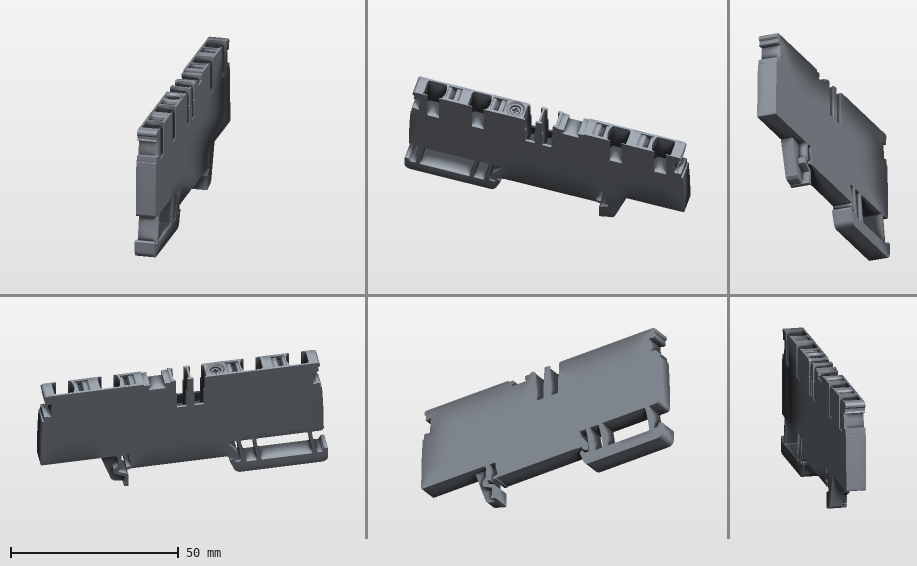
import cadquery as cq


WIDTH = 6.1
TOP = 39.4
HALF_LENGTH = 42.98
FOOT_END = -44.31
BODY_BOTTOM = 12.4
RAIL_SEAT = 6.8
SKID_TOP = 3.8
OVERLAP = 1.0

CHANNEL_FLOOR = 28.76
CHANNEL_STEP = 34.2
CHANNEL_CENTRES = (0.13, -5.15)
CHANNEL_HALF_TOP = 1.74
CHANNEL_HALF_BOTTOM = 1.44
CAVITY_FLOOR = 25.5
CAVITY_HALF_TOP = 2.35
CAVITY_HALF_BOTTOM = 1.25
CHANNEL_PLATE = 0.7

CONTACT_PITCH = 13.92
ENTRY_INNER = 18.3
ENTRY_LENGTH = 6.4
ENTRY_BULGE = 0.7
ENTRY_CORNER = 0.8
ENTRY_DEPTH = 10.0
ENTRY_NEAR_WALL = 0.56
ENTRY_FAR_WALL = 0.24
ENTRY_WINDOW_MARGIN = 1.35
SLOT_INNER = 13.75
SLOT_LENGTH = 4.2
SLOT_WALL = 0.76
SLOT_SHELF_DEPTH = 0.5
SLOT_RUN_IN = 0.45
SLOT_SHELF_LENGTH = 1.25
SLOT_DEPTH = 1.7
SLOT_SLOPE_LENGTH = 0.7
SLOT_FLOOR_LENGTH = 0.4
SLOT_RISE_LENGTH = 0.7

SCREW_Y = -10.68
SCREW_SEAT_RADIUS = 2.85
SCREW_SEAT_FLOOR_RADIUS = 2.3
SCREW_BORE_RADIUS = 1.75
SCREW_SEAT_DEPTH = 0.6
SCREW_BORE_DEPTH = 1.4
SCREW_HEAD_RADIUS = 1.4
SCREW_HEAD_HEIGHT = 0.5
CROSS_LENGTH = 2.0
CROSS_WIDTH = 0.7
CROSS_DEPTH = 0.8

WEB_THICKNESS = 3.8


def extrude_profile(profile, x_start, x_end):
    """Extrude a closed Y-Z profile from x_start to x_end."""
    return profile.close().extrude(x_end - x_start).translate((x_start, 0, 0))


def polygon(points, x_start=0.0, x_end=WIDTH):
    return extrude_profile(cq.Workplane("YZ").polyline(points), x_start, x_end)


def housing_half(side, corner_radius):
    """Half of the housing, from Y = 0 to the end on the given side (1 for +Y, -1 for -Y)."""
    flank_top = (42.45, 29.6)
    flank_middle = (42.82, 22.5)
    grip_and_hook = [
        (42.0, 29.65),
        (41.85, 31.4),
        (40.9, 31.4),
        (40.4, 31.15),
        (39.85, 31.3),
        (39.45, 36.15),
        (40.2, 36.2),
        (40.6, 35.95),
        (41.15, 36.0),
        (41.55, 36.25),
        (41.25, 36.7),
        (41.25, 37.6),
        (41.8, 38.1),
        (41.85, 38.6),
    ]
    nose_middle = (41.55, 39.15)
    nose_top = (40.8, TOP)

    def at(point):
        return (side * point[0], point[1])

    outline = (
        cq.Workplane("YZ")
        .moveTo(0, BODY_BOTTOM)
        .lineTo(side * (HALF_LENGTH - corner_radius), BODY_BOTTOM)
        .radiusArc((side * HALF_LENGTH, BODY_BOTTOM + corner_radius), -side * corner_radius)
        .threePointArc(at(flank_middle), at(flank_top))
    )
    for point in grip_and_hook:
        outline = outline.lineTo(*at(point))
    outline = outline.threePointArc(at(nose_middle), at(nose_top)).lineTo(0, TOP)
    return extrude_profile(outline, 0.0, WIDTH)


def housing():
    plus_end = housing_half(side=1, corner_radius=0.4)
    minus_end = housing_half(side=-1, corner_radius=1.0)
    return plus_end.union(minus_end)


def cut_marker_recess(body):
    """Undercut recess in the top edge that holds a marking tag."""
    shoulder = 38.9
    floor = 37.0
    recess = polygon([
        (11.57, TOP + OVERLAP),
        (11.57, shoulder),
        (9.75, shoulder),
        (9.75, 37.8),
        (10.2, 37.4),
        (10.0, floor),
        (4.98, floor),
        (4.98, 37.5),
        (5.3, 37.7),
        (5.3, shoulder),
        (3.4, shoulder),
        (3.4, TOP + OVERLAP),
    ])
    return body.cut(recess)


def symmetric_cutter(centre, half, x_start, x_end):
    """Cutter along X whose +Y side is given as (distance from centre, height) points."""
    right_side = [(centre + y, z) for y, z in half]
    left_side = [(centre - y, z) for y, z in reversed(half)]
    return polygon(right_side + left_side, x_start, x_end)


def cut_channel(body, centre):
    """Stepped notch through both side plates with a tapered cavity between them."""
    step_drop = 0.2
    step_top_inset = 0.06
    notch = [
        (CHANNEL_HALF_BOTTOM, CHANNEL_FLOOR),
        (CHANNEL_HALF_BOTTOM, CHANNEL_STEP - step_drop),
        (CHANNEL_HALF_TOP - step_top_inset, CHANNEL_STEP),
        (CHANNEL_HALF_TOP, TOP),
    ]
    cavity = [(CAVITY_HALF_BOTTOM, CAVITY_FLOOR), (CAVITY_HALF_TOP, TOP)]
    body = body.cut(symmetric_cutter(centre, notch, 0.0, WIDTH))
    return body.cut(symmetric_cutter(centre, cavity, CHANNEL_PLATE, WIDTH - CHANNEL_PLATE))


def break_channel_corners(body):
    """Small bevels where the outermost channel walls meet the top."""
    bevel = 0.4
    for wall, outward in (
        (CHANNEL_CENTRES[0] + CHANNEL_HALF_TOP, 1),
        (CHANNEL_CENTRES[1] - CHANNEL_HALF_TOP, -1),
    ):
        corner = polygon([
            (wall - outward * bevel, TOP),
            (wall + outward * bevel, TOP),
            (wall, TOP - bevel),
            (wall - outward * bevel, TOP - bevel),
        ])
        body = body.cut(corner)
    return body


def wire_entry(offset):
    """Wire entry of the +Y half: bulged inner end, rounded outer corner, window to +X."""
    inner = ENTRY_INNER + offset
    shoulder = inner + ENTRY_BULGE
    outer = inner + ENTRY_LENGTH
    near = ENTRY_NEAR_WALL
    far = WIDTH - ENTRY_FAR_WALL
    floor = TOP - ENTRY_DEPTH
    entry = (
        cq.Workplane("XY", origin=(0, 0, floor))
        .moveTo(far, shoulder)
        .lineTo(far, outer)
        .lineTo(near + ENTRY_CORNER, outer)
        .radiusArc((near, outer - ENTRY_CORNER), -ENTRY_CORNER)
        .lineTo(near, shoulder)
        .threePointArc(((near + far) / 2, inner), (far, shoulder))
        .close()
        .extrude(ENTRY_DEPTH + OVERLAP)
    )
    window_length = ENTRY_LENGTH - 2 * ENTRY_WINDOW_MARGIN
    window = cq.Workplane("XY").box(
        WIDTH / 2 + OVERLAP, window_length, ENTRY_DEPTH + OVERLAP, centered=(False, True, False)
    )
    return entry.union(window.translate((WIDTH / 2, (inner + outer) / 2, floor)))


def release_slot(offset):
    """Release slot of the +Y half: a groove between two shelves."""
    inner = SLOT_INNER + offset
    shelf_start = inner + SLOT_RUN_IN
    shelf_end = shelf_start + SLOT_SHELF_LENGTH
    shelf = TOP - SLOT_SHELF_DEPTH
    floor = TOP - SLOT_DEPTH
    slope_end = shelf_end + SLOT_SLOPE_LENGTH
    floor_end = slope_end + SLOT_FLOOR_LENGTH
    return polygon(
        [
            (inner, TOP),
            (shelf_start, shelf),
            (shelf_end, shelf),
            (slope_end, floor),
            (floor_end, floor),
            (floor_end + SLOT_RISE_LENGTH, shelf),
            (inner + SLOT_LENGTH, shelf),
            (inner + SLOT_LENGTH, TOP),
        ],
        SLOT_WALL,
        WIDTH - SLOT_WALL,
    )


def cut_contacts(body):
    """Two wire entries with release slots in each half, the halves mirrored."""
    for offset in (0.0, CONTACT_PITCH):
        for opening in (wire_entry(offset), release_slot(offset)):
            body = body.cut(opening).cut(opening.mirror("XZ"))
    return body


def add_screw(body):
    """Funnel-shaped screw seat with a cross-recessed screw head on its floor."""
    centre = (WIDTH / 2, SCREW_Y)
    bore_floor = TOP - SCREW_BORE_DEPTH
    funnel = cq.Workplane("XY", origin=(*centre, TOP)).circle(SCREW_SEAT_RADIUS)
    funnel = funnel.workplane(offset=-SCREW_SEAT_DEPTH).circle(SCREW_SEAT_FLOOR_RADIUS).loft()
    bore = cq.Workplane("XY", origin=(*centre, bore_floor)).circle(SCREW_BORE_RADIUS)
    head = cq.Workplane("XY", origin=(*centre, bore_floor)).circle(SCREW_HEAD_RADIUS)
    cross = (
        cq.Workplane("XY", origin=(*centre, bore_floor + SCREW_HEAD_HEIGHT))
        .rect(CROSS_LENGTH, CROSS_WIDTH)
        .extrude(-CROSS_DEPTH)
    )
    cross = cross.union(cross.rotate((*centre, 0), (*centre, 1), 90))
    body = body.cut(funnel).cut(bore.extrude(SCREW_BORE_DEPTH))
    return body.union(head.extrude(SCREW_HEAD_HEIGHT)).cut(cross)


def rail_block():
    """Block under the housing with a rail hook at each end."""
    return polygon([
        (16.1, BODY_BOTTOM + OVERLAP),
        (16.1, 10.7),
        (15.3, 8.4),
        (15.8, 7.6),
        (16.9, 7.6),
        (16.9, 6.65),
        (16.0, 6.55),
        (15.8, RAIL_SEAT),
        (-13.3, RAIL_SEAT),
        (-13.8, 6.6),
        (-15.3, RAIL_SEAT),
        (-15.3, 6.0),
        (-16.4, 5.1),
        (-17.15, 5.0),
        (-17.1, 6.6),
        (-16.8, 8.0),
        (-14.2, 11.5),
        (-14.2, BODY_BOTTOM + OVERLAP),
    ])


def fixed_foot():
    """Bent strip hanging from the housing, stiffened by a web on the +X side."""
    back = [
        (19.5, 8.3),
        (20.8, 7.2),
        (20.8, 5.5),
        (17.4, 3.9),
        (17.4, 1.4),
        (17.65, 1.1),
        (17.65, 0.15),
    ]
    front = [
        (17.3, 0.0),
        (16.3, 0.0),
        (16.3, 4.5),
        (16.85, 5.0),
        (19.2, 5.9),
        (19.2, 6.85),
        (18.4, 7.05),
    ]
    root_radius = 1.2
    strip = cq.Workplane("YZ").moveTo(19.5 + root_radius, BODY_BOTTOM + OVERLAP)
    strip = strip.lineTo(19.5 + root_radius, BODY_BOTTOM)
    strip = strip.radiusArc((19.5, BODY_BOTTOM - root_radius), -root_radius)
    for point in back + front:
        strip = strip.lineTo(*point)
    strip = strip.lineTo(18.4, BODY_BOTTOM + OVERLAP)
    web_edge = [
        (19.5, BODY_BOTTOM + OVERLAP),
        (24.9, BODY_BOTTOM + OVERLAP),
        (24.9, BODY_BOTTOM),
        (21.2, 1.6),
        (20.4, 0.85),
        (17.65, 0.3),
    ]
    web = polygon(web_edge + back[-2::-1], WIDTH - WEB_THICKNESS, WIDTH)
    return extrude_profile(strip, 0.0, WIDTH).union(web)


def sprung_leg(top_front, top_back, foot_front, foot_back):
    """Leg, slightly waisted, between the housing and the skid, given by its Y positions."""
    bow = 0.15
    embed = 0.1
    head = BODY_BOTTOM + embed
    toe = SKID_TOP - embed
    leg = (
        cq.Workplane("YZ")
        .moveTo(top_front, head)
        .sagittaArc((foot_front, toe), -bow)
        .lineTo(foot_back, toe)
        .sagittaArc((top_back, head), -bow)
    )
    return extrude_profile(leg, 0.0, WIDTH)


def skid():
    """Skid of the sprung foot with a catch at the rail and an upturned grip at the end."""
    heel_radius = 1.8
    outline = (
        cq.Workplane("YZ")
        .moveTo(-14.5, 5.1)
        .lineTo(-14.5, 4.5)
        .lineTo(-15.7, 1.6)
        .threePointArc((-16.5, 0.45), (-17.6, 0.0))
        .lineTo(FOOT_END + heel_radius, 0.0)
        .radiusArc((FOOT_END, heel_radius), heel_radius)
        .lineTo(FOOT_END, 4.9)
        .threePointArc((-43.7, 5.25), (-43.0, 4.8))
        .lineTo(-42.6, SKID_TOP + 0.3)
        .threePointArc((-42.0, SKID_TOP), (-41.4, SKID_TOP + 0.3))
        .lineTo(-41.0, SKID_TOP)
        .lineTo(-18.6, SKID_TOP)
        .lineTo(-17.9, 4.5)
        .lineTo(-17.5, 4.2)
        .lineTo(-16.2, 4.2)
        .lineTo(-15.6, 5.1)
        .lineTo(-15.3, 5.5)
    )
    return extrude_profile(outline, 0.0, WIDTH)


def sprung_foot():
    legs = (
        (-16.6, -17.7, -18.0, -19.6),
        (-21.2, -22.4, -22.85, -24.1),
        (-38.0, -39.3, -39.7, -41.0),
    )
    foot = skid()
    for leg in legs:
        foot = foot.union(sprung_leg(*leg))
    return foot


def round_foot_corners(body):
    """Round the corners of the leg windows and of the gap behind the fixed foot."""
    corner_radius = 0.45
    tolerance = 0.05
    window_end = -40.2
    corner_rows = (
        (BODY_BOTTOM, window_end, -17.2),
        (BODY_BOTTOM, 15.9, 18.6),
        (SKID_TOP, window_end, -19.0),
    )
    for level, y_start, y_end in corner_rows:
        corners = cq.selectors.BoxSelector(
            (-OVERLAP, y_start, level - tolerance),
            (WIDTH + OVERLAP, y_end, level + tolerance),
        )
        body = body.edges("|X").edges(corners).fillet(corner_radius)
    return body


body = cut_marker_recess(housing())
for channel_centre in CHANNEL_CENTRES:
    body = cut_channel(body, channel_centre)
body = break_channel_corners(body)
body = cut_contacts(body)
body = add_screw(body)
body = body.union(rail_block()).union(fixed_foot()).union(sprung_foot()).clean()
result = round_foot_corners(body)